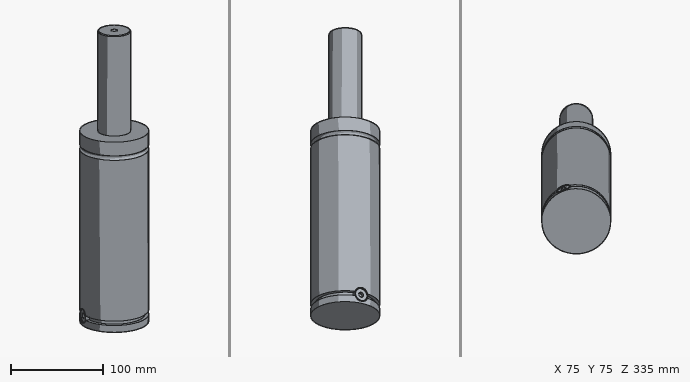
import cadquery as cq
import math

total_height = 335.0
body_diameter = 75.0
body_height = 219.5
rod_diameter = 36.0
rod_edge_chamfer = 1.0

cap_groove_height = 201.0
cap_groove_radius = 2.5

base_groove_bottom = 8.0
base_groove_top = 13.0
base_groove_diameter = 66.5

rod_hole_diameter = 6.7
rod_hole_depth = 13.5
drill_tip_angle = 118.0

port_height = 10.7
port_diameter = 16.0
port_recess_diameter = 14.0
port_recess_depth = 0.5
port_hole_diameter = 5.7
port_hole_depth = 3.5

body_radius = body_diameter / 2
port_face_distance = math.sqrt(body_radius**2 - (port_diameter / 2) ** 2)


def make_body():
    """Cylindrical body with its two ring grooves."""
    body = cq.Workplane("XY").circle(body_radius).extrude(body_height)
    base_groove = (
        cq.Workplane("XY")
        .workplane(offset=base_groove_bottom)
        .circle(body_diameter)
        .circle(base_groove_diameter / 2)
        .extrude(base_groove_top - base_groove_bottom)
    )
    cap_groove = cq.Workplane(
        cq.Solid.makeTorus(body_radius, cap_groove_radius, cq.Vector(0, 0, cap_groove_height))
    )
    return body.cut(base_groove).cut(cap_groove)


def make_rod():
    """Piston rod with a chamfered end."""
    rod = cq.Workplane("XY").workplane(offset=base_groove_top).circle(rod_diameter / 2)
    return rod.extrude(total_height - base_groove_top).faces(">Z").chamfer(rod_edge_chamfer)


def make_rod_hole():
    """Blind drilled hole with a conical bottom."""
    radius = rod_hole_diameter / 2
    tip_length = radius / math.tan(math.radians(drill_tip_angle / 2))
    hole_bottom = total_height - rod_hole_depth
    return (
        cq.Workplane("XZ")
        .moveTo(0, total_height)
        .lineTo(radius, total_height)
        .lineTo(radius, hole_bottom)
        .lineTo(0, hole_bottom - tip_length)
        .close()
        .revolve(360, (0, 0), (0, 1))
    )


def port_cylinder(diameter, start, length):
    """Cylinder on the port axis, from a distance off the body axis outward."""
    plane = cq.Workplane("XZ", origin=(0, -start, port_height))
    return plane.circle(diameter / 2).extrude(length)


def add_port(part):
    """Flat-faced, recessed and drilled plug that bridges the base groove."""
    plug_start = rod_diameter / 2
    plug = port_cylinder(port_diameter, plug_start, port_face_distance - plug_start)
    pocket = port_cylinder(port_diameter, plug_start, body_radius)
    recess_floor = port_face_distance - port_recess_depth
    recess = port_cylinder(port_recess_diameter, recess_floor, body_radius)
    hole = port_cylinder(port_hole_diameter, recess_floor - port_hole_depth, body_radius)
    return part.cut(pocket).union(plug).cut(recess).cut(hole)


result = add_port(make_body().union(make_rod()).cut(make_rod_hole()))